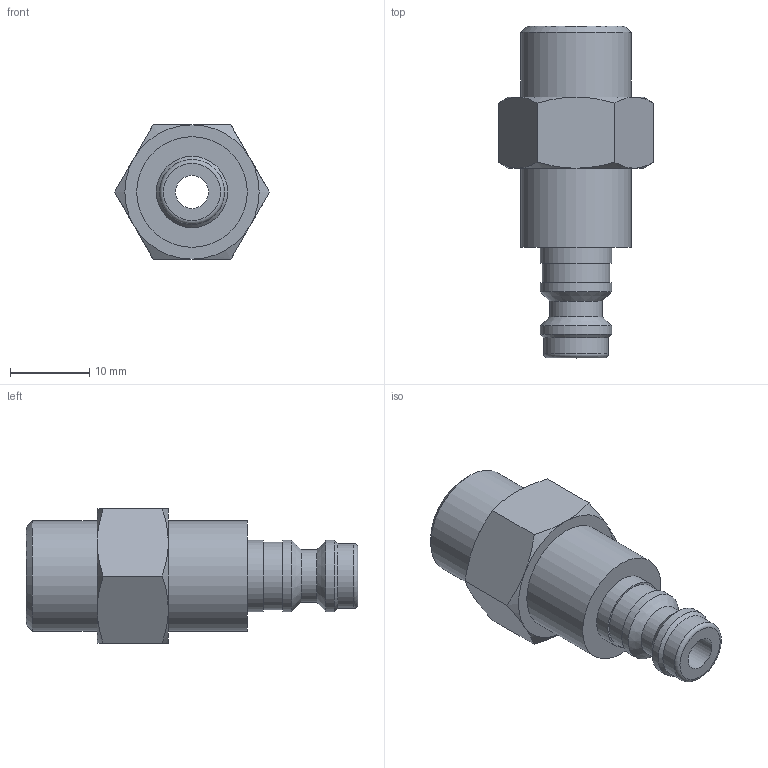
import cadquery as cq
import math

total_length = 42.0
bore_diameter = 4.2

hex_across_flats = 17.0
hex_length = 9.0
hex_chamfer_angle = 30.0

body_diameter = 14.0
body_length = 10.0
plug_length = 14.0
rear_chamfer_length = 0.8
rear_chamfer_depth = 0.8

collar_diameter = 9.0
tip_diameter = 8.2
tip_fillet = 0.5
tip_length = 2.55
front_collar_chamfer_end = 3.0
front_collar_end = 4.05
groove_diameter = 6.7
groove_rear_end = 8.35
relief_diameter = 8.5
relief_start = 9.5
relief_end = 12.0

hex_start = plug_length + body_length
hex_end = hex_start + hex_length
hex_across_corners = hex_across_flats / math.cos(math.pi / 6)
hex_corner_height = (hex_across_corners - hex_across_flats) / 2
hex_chamfer_length = hex_corner_height * math.tan(math.radians(hex_chamfer_angle))
groove_depth = (collar_diameter - groove_diameter) / 2
groove_floor_start = front_collar_end + groove_depth
groove_floor_end = groove_rear_end - groove_depth


def revolve_about_y(profile):
    """Turn a closed (radius, Y) profile in the XY plane about the Y axis."""
    return profile.close().revolve(360, (0, 0, 0), (0, 1, 0))


def make_turned_core():
    """Plug, round body and rear shank as one turned solid."""
    tip_radius = tip_diameter / 2
    collar_radius = collar_diameter / 2
    groove_radius = groove_diameter / 2
    relief_radius = relief_diameter / 2
    body_radius = body_diameter / 2
    profile = (
        cq.Workplane("XY")
        .lineTo(tip_radius - tip_fillet, 0)
        .radiusArc((tip_radius, tip_fillet), -tip_fillet)
        .lineTo(tip_radius, tip_length)
        .lineTo(collar_radius, front_collar_chamfer_end)
        .lineTo(collar_radius, front_collar_end)
        .lineTo(groove_radius, groove_floor_start)
        .lineTo(groove_radius, groove_floor_end)
        .lineTo(collar_radius, groove_rear_end)
        .lineTo(collar_radius, relief_start)
        .lineTo(relief_radius, relief_start)
        .lineTo(relief_radius, relief_end)
        .lineTo(collar_radius, relief_end)
        .lineTo(collar_radius, plug_length)
        .lineTo(body_radius, plug_length)
        .lineTo(body_radius, total_length - rear_chamfer_length)
        .lineTo(body_radius - rear_chamfer_depth, total_length)
        .lineTo(0, total_length)
    )
    return revolve_about_y(profile)


def make_hexagon():
    """Hexagon with corners on the X axis, both ends chamfered by a cone."""
    prism = (
        cq.Workplane("XZ", origin=(0, hex_end, 0))
        .polygon(6, hex_across_corners)
        .extrude(hex_length)
    )
    flat_radius = hex_across_flats / 2
    corner_radius = hex_across_corners / 2
    envelope_profile = (
        cq.Workplane("XY")
        .moveTo(0, hex_start)
        .lineTo(flat_radius, hex_start)
        .lineTo(corner_radius, hex_start + hex_chamfer_length)
        .lineTo(corner_radius, hex_end - hex_chamfer_length)
        .lineTo(flat_radius, hex_end)
        .lineTo(0, hex_end)
    )
    return prism.intersect(revolve_about_y(envelope_profile))


def make_bore():
    """Through bore along the axis."""
    return (
        cq.Workplane("XZ", origin=(0, total_length, 0))
        .circle(bore_diameter / 2)
        .extrude(total_length)
    )


result = make_turned_core().union(make_hexagon()).cut(make_bore())